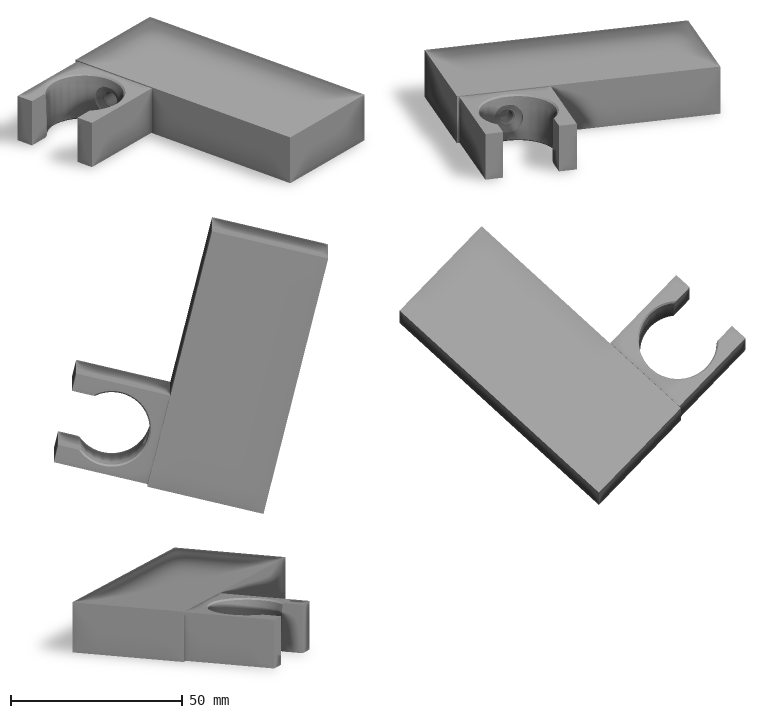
import cadquery as cq

block_length = 80.0
block_depth = 35.0
block_height = 15.0

holder_width = 27.8
holder_depth = 28.2
holder_height = 14.6
holder_left = 0.7
bore_center_y = 14.1
bore_top_radius = 11.4
bore_bottom_radius = 11.0
bore_chamfer = 0.5
mouth_width = 17.0

spacer_thickness = 0.2
spacer_inset = 0.2

counterbore_diameter = 8.8
counterbore_floor_y = 25.3
countersink_depth = 1.0
screw_hole_diameter = 5.3

socket_mouth_diameter = 5.0
socket_diameter = 4.0
socket_taper_depth = 0.6
socket_depth = 4.8
screw_depth_in_block = 4.8

axis_x = holder_left + holder_width / 2
axis_z = block_height / 2
holder_bottom = axis_z - holder_height / 2
holder_top = axis_z + holder_height / 2
block_front = holder_depth + spacer_thickness
screw_front = counterbore_floor_y + countersink_depth
screw_end = block_front + screw_depth_in_block


def box(width, depth, height, left, front, bottom):
    """Box placed by its left, front and bottom sides."""
    return cq.Workplane("XY").box(width, depth, height, centered=False).translate((left, front, bottom))


def rod(diameter, start_y, end_y):
    """Cylinder on the screw axis, from start_y back to end_y."""
    center = cq.Vector(axis_x, start_y, axis_z)
    return cq.Workplane(cq.Solid.makeCylinder(diameter / 2, end_y - start_y, center, cq.Vector(0, 1, 0)))


def cone(front_diameter, back_diameter, start_y, end_y):
    """Cone on the screw axis, from start_y back to end_y."""
    center = cq.Vector(axis_x, start_y, axis_z)
    return cq.Workplane(
        cq.Solid.makeCone(front_diameter / 2, back_diameter / 2, end_y - start_y, center, cq.Vector(0, 1, 0))
    )


def make_bore():
    """Tapered bore, wider at the top, with a chamfer at both ends."""
    return (
        cq.Workplane("XZ")
        .moveTo(0, holder_bottom)
        .lineTo(bore_bottom_radius + bore_chamfer, holder_bottom)
        .lineTo(bore_bottom_radius, holder_bottom + bore_chamfer)
        .lineTo(bore_top_radius, holder_top - bore_chamfer)
        .lineTo(bore_top_radius + bore_chamfer, holder_top)
        .lineTo(0, holder_top)
        .close()
        .revolve(360, (0, 0, 0), (0, 1, 0))
        .translate((axis_x, bore_center_y, 0))
    )


def make_screw_hole():
    """Counterbore, shallow cone and straight hole, running back from inside the bore."""
    counterbore = rod(counterbore_diameter, bore_center_y, counterbore_floor_y)
    countersink = cone(counterbore_diameter, screw_hole_diameter, counterbore_floor_y, screw_front)
    straight_hole = rod(screw_hole_diameter, screw_front, holder_depth)
    return counterbore.union(countersink).union(straight_hole)


def make_holder():
    body = box(holder_width, holder_depth, holder_height, holder_left, 0, holder_bottom)
    mouth = box(mouth_width, bore_center_y, holder_height, axis_x - mouth_width / 2, 0, holder_bottom)
    return body.cut(make_bore()).cut(mouth).cut(make_screw_hole())


def make_spacer():
    width = holder_width - 2 * spacer_inset
    height = holder_height - 2 * spacer_inset
    left = holder_left + spacer_inset
    sheet = box(width, spacer_thickness, height, left, holder_depth, holder_bottom + spacer_inset)
    return sheet.cut(rod(screw_hole_diameter, holder_depth, block_front))


def make_screw():
    """Screw that fills its hole, ending blind inside the block."""
    taper = cone(socket_mouth_diameter, socket_diameter, screw_front, screw_front + socket_taper_depth)
    socket = rod(socket_diameter, screw_front, screw_front + socket_depth).union(taper)
    return rod(screw_hole_diameter, screw_front, screw_end).cut(socket)


def make_block():
    body = box(block_length, block_depth, block_height, 0, block_front, 0)
    return body.cut(rod(screw_hole_diameter, block_front, screw_end))


holder = make_holder()
spacer = make_spacer()
screw = make_screw()
block = make_block()

result = cq.Compound.makeCompound([holder.val(), spacer.val(), screw.val(), block.val()])